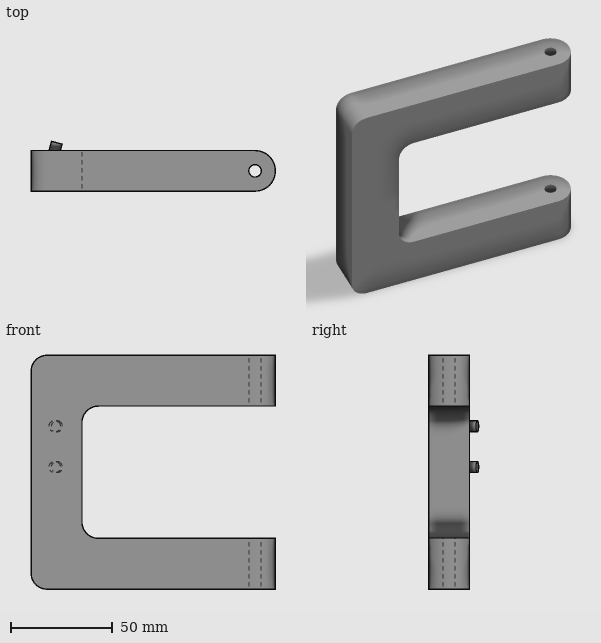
import cadquery as cq
import math

length = 120.0
height = 115.0
thickness = 20.0
arm_width = 25.1
corner_radius = 7.9

end_radius = thickness / 2
hinge_hole_diameter = 6.0
hinge_x = length - end_radius

pin_diameter = 5.5
pin_lean = math.radians(15)
pin_base_x = 11.6
pin_rise = 24.6 - thickness
lower_pin_z = height / 2 + 2.5
pin_spacing = 20.0
pin_root_depth = 2.4


def make_body():
    outer = (
        cq.Workplane("XY")
        .box(length, thickness, height, centered=False)
        .edges("|Y and <X")
        .fillet(corner_radius)
    )
    opening = (
        cq.Workplane("XY")
        .box(length, thickness, height - 2 * arm_width, centered=False)
        .edges("|Y and <X")
        .fillet(corner_radius)
        .translate((arm_width, 0, arm_width))
    )
    hinge_hole = (
        cq.Workplane("XY")
        .center(hinge_x, end_radius)
        .circle(hinge_hole_diameter / 2)
        .extrude(height)
    )
    rounded_plan = (
        cq.Workplane("XY")
        .moveTo(0, 0)
        .lineTo(hinge_x, 0)
        .threePointArc((length, end_radius), (hinge_x, thickness))
        .lineTo(0, thickness)
        .close()
        .extrude(height)
    )
    return outer.intersect(rounded_plan).cut(opening).cut(hinge_hole)


def make_pin(z):
    axis = cq.Vector(math.sin(pin_lean), math.cos(pin_lean), 0)
    base = cq.Vector(pin_base_x, thickness, z)
    tip_rise = pin_rise - pin_diameter / 2 * math.sin(pin_lean)
    exposed_length = tip_rise / math.cos(pin_lean)
    start = base - axis * pin_root_depth
    return cq.Solid.makeCylinder(pin_diameter / 2, exposed_length + pin_root_depth, start, axis)


result = make_body()
for pin_z in (lower_pin_z, lower_pin_z + pin_spacing):
    result = result.union(make_pin(pin_z))